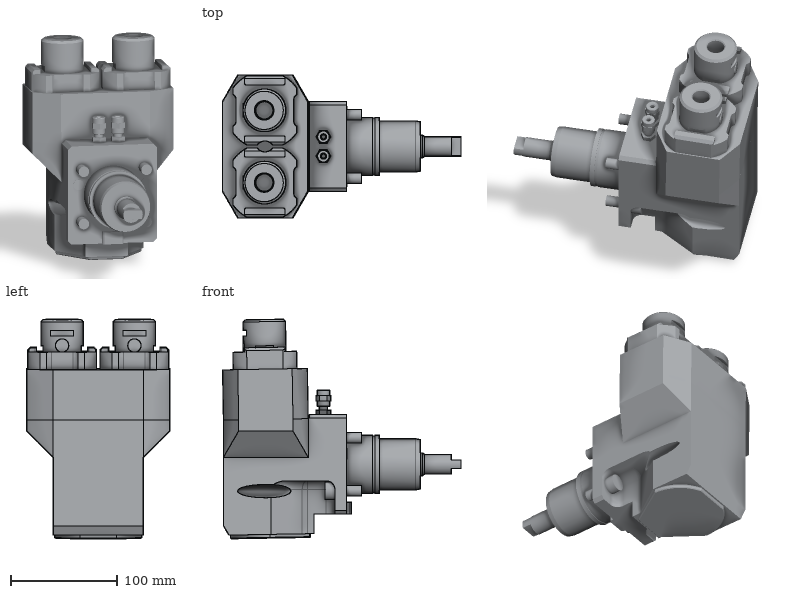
import cadquery as cq
import math


BODY_WIDTH = 85.0
HALF_WIDTH = BODY_WIDTH / 2
HEAD_LENGTH = 80.0
FLANGE_LENGTH = 36.0
FLANGE_HALF_HEIGHT = 47.0
FLANGE_CHAMFER = 3.3
HEAD_GAP = 1.0
BACK_X = -(HEAD_LENGTH + FLANGE_LENGTH)
HEAD_MID_X = -FLANGE_LENGTH - HEAD_LENGTH / 2
TOE_X = -30.5
BODY_BOTTOM_Z = -66.0
HEEL_CHAMFER_LENGTH = 5.2
HEEL_CHAMFER_HEIGHT = 8.8

HEAD_WIDTH = 135.0
HEAD_CORNER_ANGLE = 30.0
HEAD_OVERHANG = (HEAD_WIDTH - BODY_WIDTH) / 2
HEAD_CORNER_LENGTH = HEAD_OVERHANG * math.tan(math.radians(HEAD_CORNER_ANGLE))
HEAD_SIDE_BOTTOM_Z = 31.4
SHOULDER_Z = HEAD_SIDE_BOTTOM_Z - HEAD_OVERHANG
CREASE_Z = 42.3
HEAD_TOP_Z = 89.6
TILT_ANGLE = 1.0
SLAB_SIZE = 400.0

WEB_HALF_WIDTH = 20.5
POCKET_ROOF_Z = -15.6
POCKET_START_X = -71.0
POCKET_BEND_X = -39.6
POCKET_END_X = -11.0
POCKET_FILLET = 8.3
POCKET_ROOF_FILLET = 8.2
POCKET_BEND_RADIUS = 8.3

SCOOP_X = -75.8
SCOOP_Z = -25.2
SCOOP_RADIUS = 26.7
SCOOP_HALF_HEIGHT = 6.3

COVER_X = -74.1
COVER_RADIUS = 41.0
COVER_FRONT_X = -111.3
COVER_END_X = -35.7
COVER_END_WIDTH = 32.0
COVER_THICKNESS = 3.6
COVER_CHAMFER = 0.8

PILOT_RADIUS = 27.5
PILOT_LENGTH = 31.0
GROOVE_START_X = 24.3
GROOVE_WIDTH = 2.5
GROOVE_DEPTH = 0.6
SHANK_RADIUS = 24.2
SHANK_TAPER_START_X = 64.8
SHANK_END_X = 69.5
SHANK_END_RADIUS = 23.3
COLLAR_RADIUS = 10.8
COLLAR_TAPER_START_X = 71.6
COLLAR_END_X = 73.6
DRIVE_RADIUS = 9.25
TANG_START_X = 98.6
TANG_END_X = 107.75
TANG_HALF_THICKNESS = 4.15

BOLT_Y = 30.0
BOLT_Z = 25.0
BOLT_DIAMETER = 10.0
BOLT_REACH = 14.2
BOLT_HEAD_DIAMETER = 16.4
BOLT_HEAD_HEIGHT = 9.3
KEY_REACH = 4.7
KEY_WIDTH = 20.0
KEY_HEIGHT = 11.5
KEY_CHAMFER = 1.5
PORT_Y = 32.5
PORT_Z = 10.0
PORT_DIAMETER = 10.0
PORT_HEIGHT = 0.6

FITTING_X = -21.8
FITTING_Y = 9.1
FITTING_HEX_CORNERS = 14.0
FITTING_BASE_HEIGHT = 4.1
FITTING_NECK_DIAMETER = 8.0
FITTING_NECK_HEIGHT = 3.2
FITTING_BODY_DIAMETER = 12.0
FITTING_BODY_HEIGHT = 15.7
FITTING_BODY_CHAMFER = 0.5
FITTING_NUT_RISE = 5.3
FITTING_NUT_HEIGHT = 5.1
FITTING_MOUTH_DIAMETER = 5.8
FITTING_BORE_DIAMETER = 4.0

SPINDLE_X = -75.9
SPINDLE_Y = 34.0
PLATE_LENGTH = 60.2
PLATE_WIDTH = 65.0
PLATE_CORNER_RADIUS = 36.7
PLATE_THICKNESS = 16.4
NOTCH_HALF_WIDTH = 14.9
NOTCH_FLOOR_HALF_WIDTH = 10.2
NOTCH_DEPTH = 2.9
RIB_LENGTH = 38.0
RIB_WIDTH = 8.6
RIB_HEIGHT = 4.0
RIB_CHAMFER = 2.7
RIB_CORNER_RADIUS = 1.5
NUT_DIAMETER = 40.2
NUT_TOP = 46.8
NUT_CHAMFER = 2.1
NUT_BORE_DIAMETER = 16.3
NUT_BORE_CHAMFER = 1.0
NUT_BORE_DEPTH = 20.0
NUT_FLAT_OFFSET = 18.2
NUT_FLAT_TOP = 22.0
NUT_SLOT_DEPTH = 3.1
NUT_SLOT_BOTTOM = 31.6
NUT_SLOT_HEIGHT = 5.3
PLUG_DIAMETER = 12.5
PLUG_CENTRE = 22.6
PLUG_REACH = 20.5
RELIEF_RADIUS = 9.1
RELIEF_REACH = 5.1


def block(x_range, y_range, z_range):
    """Box between the given limits on each axis."""
    lengths = [limits[1] - limits[0] for limits in (x_range, y_range, z_range)]
    corner = (x_range[0], y_range[0], z_range[0])
    return cq.Workplane("XY").box(*lengths, centered=False).translate(corner)


def cylinder_x(start_x, end_x, diameter, y, z):
    """Cylinder along X."""
    disc = cq.Workplane("YZ", origin=(start_x, y, z)).circle(diameter / 2)
    return disc.extrude(end_x - start_x)


def tilt(shape):
    """Lean a shape back about the middle of the crease line."""
    return shape.rotate((HEAD_MID_X, 0, CREASE_Z), (HEAD_MID_X, 1, CREASE_Z), -TILT_ANGLE)


def tilt_slab(bottom_z, top_z):
    """Very wide slab between two leaning planes."""
    half = SLAB_SIZE / 2
    return tilt(block((HEAD_MID_X - half, HEAD_MID_X + half), (-half, half), (bottom_z, top_z)))


def head_prism(bottom_z, top_z):
    """Rectangle with four bevelled corners, extruded upwards."""
    half = HEAD_LENGTH / 2
    flat = half - HEAD_CORNER_LENGTH
    side = HEAD_WIDTH / 2
    outline = [
        (-half, -HALF_WIDTH),
        (-flat, -side),
        (flat, -side),
        (half, -HALF_WIDTH),
        (half, HALF_WIDTH),
        (flat, side),
        (-flat, side),
        (-half, HALF_WIDTH),
    ]
    sketch = cq.Workplane("XY", origin=(HEAD_MID_X, 0, bottom_z)).polyline(outline).close()
    return sketch.extrude(top_z - bottom_z)


def make_head():
    """Upright lower part with sloping shoulders, and the leaning upper part."""
    lower = head_prism(SHOULDER_Z, HEAD_TOP_Z)
    shoulders = [
        (-HALF_WIDTH, SHOULDER_Z),
        (HALF_WIDTH, SHOULDER_Z),
        (HEAD_WIDTH / 2, HEAD_SIDE_BOTTOM_Z),
        (HEAD_WIDTH / 2, HEAD_TOP_Z),
        (-HEAD_WIDTH / 2, HEAD_TOP_Z),
        (-HEAD_WIDTH / 2, HEAD_SIDE_BOTTOM_Z),
    ]
    envelope = cq.Workplane("YZ", origin=(BACK_X, 0, 0)).polyline(shoulders).close().extrude(HEAD_LENGTH)
    lower = lower.intersect(envelope).cut(tilt_slab(CREASE_Z, CREASE_Z + SLAB_SIZE))
    return lower.union(tilt(head_prism(CREASE_Z, HEAD_TOP_Z)))


def make_flange():
    """Block behind the flange face with all four long edges chamfered."""
    flange = block(
        (-FLANGE_LENGTH, 0), (-HALF_WIDTH, HALF_WIDTH), (-FLANGE_HALF_HEIGHT, FLANGE_HALF_HEIGHT)
    )
    flange = flange.edges("|X").chamfer(FLANGE_CHAMFER)
    gap = block(
        (-FLANGE_LENGTH, -FLANGE_LENGTH + HEAD_GAP),
        (-HALF_WIDTH, HALF_WIDTH),
        (FLANGE_HALF_HEIGHT - FLANGE_CHAMFER, FLANGE_HALF_HEIGHT),
    )
    return flange.cut(gap)


def make_lower_body():
    """Body under the head, cut off by the leaning bottom plane and the heel chamfer."""
    floor_z = BODY_BOTTOM_Z - COVER_THICKNESS
    body = block((BACK_X, TOE_X), (-HALF_WIDTH, HALF_WIDTH), (floor_z, SHOULDER_Z))
    body = body.cut(tilt_slab(BODY_BOTTOM_Z - SLAB_SIZE, BODY_BOTTOM_Z))
    heel_z = BODY_BOTTOM_Z - math.tan(math.radians(TILT_ANGLE)) * HEAD_LENGTH / 2
    slope = HEEL_CHAMFER_LENGTH / HEEL_CHAMFER_HEIGHT
    drop = 2 * HEEL_CHAMFER_HEIGHT
    top_z = heel_z + HEEL_CHAMFER_HEIGHT
    heel = [(BACK_X, top_z), (BACK_X, top_z - drop), (BACK_X + slope * drop, top_z - drop)]
    wedge = cq.Workplane("XZ").polyline(heel).close().extrude(HALF_WIDTH, both=True)
    return body.cut(wedge)


def make_pocket():
    """Pocket on the -Y side between the body and the flange, rounded along its inner edges."""
    depth = POCKET_ROOF_Z - BODY_BOTTOM_Z + COVER_THICKNESS
    middle_z = POCKET_ROOF_Z - depth / 2
    outline = [
        (POCKET_START_X, -HALF_WIDTH),
        (POCKET_BEND_X, -WEB_HALF_WIDTH),
        (POCKET_END_X, -WEB_HALF_WIDTH),
    ]
    slope = (outline[1][1] - outline[0][1]) / (outline[1][0] - outline[0][0])
    outer_y = -HALF_WIDTH - 2 * POCKET_FILLET
    outer_x = POCKET_START_X + (outer_y + HALF_WIDTH) / slope
    points = [(outer_x, outer_y)] + outline[1:] + [(POCKET_END_X, outer_y)]
    pocket = cq.Workplane("XY", origin=(0, 0, POCKET_ROOF_Z)).polyline(points).close().extrude(-depth)
    bend = cq.selectors.NearestToPointSelector((POCKET_BEND_X, -WEB_HALF_WIDTH, middle_z))
    pocket = pocket.edges(bend).fillet(POCKET_BEND_RADIUS)
    corner = cq.selectors.NearestToPointSelector((POCKET_END_X, -WEB_HALF_WIDTH, middle_z))
    pocket = pocket.edges(corner).fillet(POCKET_FILLET)
    return pocket.faces(">Z").edges("not <Y").fillet(POCKET_ROOF_FILLET)


def make_scoop():
    """Flattened ball centred on the -Y side of the body."""
    profile = (
        cq.Workplane("YZ")
        .moveTo(0, -SCOOP_HALF_HEIGHT)
        .ellipseArc(SCOOP_RADIUS, SCOOP_HALF_HEIGHT, -90, 90, startAtCurrent=True)
        .close()
    )
    return profile.revolve(360, (0, 0), (0, 1)).translate((SCOOP_X, -HALF_WIDTH, SCOOP_Z))


def make_cover():
    """Bottom cover, round towards -X and tapering towards +X."""
    start = cq.Workplane("XY", origin=(COVER_X, 0, BODY_BOTTOM_Z))
    disc = start.circle(COVER_RADIUS).extrude(-COVER_THICKNESS)
    side = COVER_RADIUS
    end = COVER_END_WIDTH / 2
    outline = [
        (COVER_FRONT_X - COVER_X, -side),
        (0, -side),
        (COVER_END_X - COVER_X, -end),
        (COVER_END_X - COVER_X, end),
        (0, side),
        (COVER_FRONT_X - COVER_X, side),
    ]
    trim = start.polyline(outline).close().extrude(-COVER_THICKNESS)
    return tilt(disc.intersect(trim).faces("<Z").edges().chamfer(COVER_CHAMFER))


def make_shank():
    """Turned pilot, shank, collar and drive, with two flats forming the tang."""
    groove_end_x = GROOVE_START_X + GROOVE_WIDTH
    profile = [
        (0, 0),
        (0, PILOT_RADIUS),
        (GROOVE_START_X, PILOT_RADIUS),
        (GROOVE_START_X, PILOT_RADIUS - GROOVE_DEPTH),
        (groove_end_x, PILOT_RADIUS - GROOVE_DEPTH),
        (groove_end_x, PILOT_RADIUS),
        (PILOT_LENGTH, PILOT_RADIUS),
        (PILOT_LENGTH, SHANK_RADIUS),
        (SHANK_TAPER_START_X, SHANK_RADIUS),
        (SHANK_END_X, SHANK_END_RADIUS),
        (SHANK_END_X, COLLAR_RADIUS),
        (COLLAR_TAPER_START_X, COLLAR_RADIUS),
        (COLLAR_END_X, DRIVE_RADIUS),
        (TANG_END_X, DRIVE_RADIUS),
        (TANG_END_X, 0),
    ]
    shank = cq.Workplane("XY").polyline(profile).close().revolve(360, (0, 0), (1, 0))
    for side in (-1, 1):
        z_range = sorted((side * TANG_HALF_THICKNESS, side * SHANK_RADIUS))
        shank = shank.cut(block((TANG_START_X, TANG_END_X), (-SHANK_RADIUS, SHANK_RADIUS), z_range))
    return shank


def make_bolt(y, z):
    """Clamping bolt through the flange."""
    stud = cylinder_x(POCKET_END_X, BOLT_REACH, BOLT_DIAMETER, y, z)
    head = cylinder_x(POCKET_END_X - BOLT_HEAD_HEIGHT, POCKET_END_X, BOLT_HEAD_DIAMETER, y, z)
    return stud.union(head)


def make_key():
    """Locating key at the foot of the flange face."""
    key = block(
        (0, KEY_REACH),
        (-KEY_WIDTH / 2, KEY_WIDTH / 2),
        (-FLANGE_HALF_HEIGHT, -FLANGE_HALF_HEIGHT + KEY_HEIGHT),
    )
    return key.edges(">X and |Z").chamfer(KEY_CHAMFER)


def make_fitting(y):
    """Hose fitting: hexagon foot, neck, and round body with a hexagon nut."""
    base = cq.Workplane("XY", origin=(FITTING_X, y, FLANGE_HALF_HEIGHT))
    neck_rise = FITTING_BASE_HEIGHT + FITTING_NECK_HEIGHT
    top = neck_rise + FITTING_BODY_HEIGHT
    foot = base.polygon(6, FITTING_HEX_CORNERS).extrude(FITTING_BASE_HEIGHT)
    neck = base.circle(FITTING_NECK_DIAMETER / 2).extrude(neck_rise)
    barrel = base.workplane(offset=neck_rise).circle(FITTING_BODY_DIAMETER / 2).extrude(FITTING_BODY_HEIGHT)
    barrel = barrel.edges().chamfer(FITTING_BODY_CHAMFER)
    nut = base.workplane(offset=neck_rise + FITTING_NUT_RISE).polygon(6, FITTING_HEX_CORNERS)
    fitting = foot.union(neck).union(barrel).union(nut.extrude(FITTING_NUT_HEIGHT))
    bore = base.workplane(offset=top).circle(FITTING_BORE_DIAMETER / 2).extrude(-FITTING_BODY_HEIGHT)
    fitting = fitting.cut(bore)
    mouth_chamfer = (FITTING_MOUTH_DIAMETER - FITTING_BORE_DIAMETER) / 2
    return fitting.faces(">Z").edges(cq.selectors.RadiusNthSelector(0)).chamfer(mouth_chamfer)


def make_plate():
    """Clamping plate with rounded corners and a notch in each end."""
    plate = cq.Workplane("XY").circle(PLATE_CORNER_RADIUS).extrude(PLATE_THICKNESS)
    plate = plate.intersect(cq.Workplane("XY").rect(PLATE_LENGTH, PLATE_WIDTH).extrude(PLATE_THICKNESS))
    run = NOTCH_HALF_WIDTH - NOTCH_FLOOR_HALF_WIDTH
    arc_radius = (run**2 + NOTCH_DEPTH**2) / (2 * NOTCH_DEPTH)
    edge_x = PLATE_LENGTH / 2
    floor_x = edge_x - NOTCH_DEPTH
    notch = (
        cq.Workplane("XY")
        .moveTo(edge_x, -NOTCH_HALF_WIDTH)
        .radiusArc((floor_x, -NOTCH_FLOOR_HALF_WIDTH), arc_radius)
        .lineTo(floor_x, NOTCH_FLOOR_HALF_WIDTH)
        .radiusArc((edge_x, NOTCH_HALF_WIDTH), arc_radius)
        .close()
        .extrude(PLATE_THICKNESS)
    )
    return plate.cut(notch).cut(notch.mirror("YZ"))


def make_rib():
    """Rib along the +Y edge of the plate, bevelled outside and trimmed to the plate corners."""
    outer_y = PLATE_WIDTH / 2
    top_z = PLATE_THICKNESS + RIB_HEIGHT
    rib = block(
        (-RIB_LENGTH / 2, RIB_LENGTH / 2), (outer_y - RIB_WIDTH, outer_y), (PLATE_THICKNESS, top_z)
    )
    rib = rib.edges("|Z and <Y").fillet(RIB_CORNER_RADIUS)
    rib = rib.edges(">Y and >Z").chamfer(RIB_CHAMFER)
    return rib.intersect(cq.Workplane("XY").circle(PLATE_CORNER_RADIUS).extrude(top_z))


def make_nut():
    """Collet nut with wrench flats, a slot and a plug on its -X side."""
    radius = NUT_DIAMETER / 2
    nut = cq.Workplane("XY").circle(radius).extrude(NUT_TOP).faces(">Z").chamfer(NUT_CHAMFER)
    bore = cq.Workplane("XY", origin=(0, 0, NUT_TOP)).circle(NUT_BORE_DIAMETER / 2).extrude(-NUT_BORE_DEPTH)
    nut = nut.cut(bore)
    nut = nut.faces(">Z").edges(cq.selectors.RadiusNthSelector(0)).chamfer(NUT_BORE_CHAMFER)
    flat = block((-radius, radius), (NUT_FLAT_OFFSET, radius), (PLATE_THICKNESS, NUT_FLAT_TOP))
    nut = nut.cut(flat).cut(flat.mirror("XZ"))
    slot_top = NUT_SLOT_BOTTOM + NUT_SLOT_HEIGHT
    slot = block((-radius, -radius + NUT_SLOT_DEPTH), (-radius, radius), (NUT_SLOT_BOTTOM, slot_top))
    plug = cylinder_x(-PLUG_REACH, -radius / 2, PLUG_DIAMETER, 0, PLUG_CENTRE)
    return nut.cut(slot).union(plug)


def make_spindles():
    """Both tool spindles, relieved where they face each other, leaning with the head."""
    rib = make_rib()
    base = make_plate().union(rib).union(rib.mirror("XZ"))
    relief_y = RELIEF_REACH - RELIEF_RADIUS - SPINDLE_Y
    relief = cq.Workplane("XY").center(0, relief_y).circle(RELIEF_RADIUS).extrude(NUT_TOP)
    spindle = base.cut(relief).union(make_nut()).translate((SPINDLE_X, SPINDLE_Y, HEAD_TOP_Z))
    return tilt(spindle.union(spindle.mirror("XZ")))


body = make_lower_body().union(make_head())
body = body.union(make_flange())
pocket = make_pocket()
scoop = make_scoop()
for cutter in (pocket, scoop):
    body = body.cut(cutter).cut(cutter.mirror("XZ"))

result = body.union(make_cover()).union(make_shank()).union(make_key()).union(make_spindles())
for side in (-1, 1):
    result = result.union(make_fitting(side * FITTING_Y))
    result = result.union(cylinder_x(0, PORT_HEIGHT, PORT_DIAMETER, side * PORT_Y, PORT_Z))
    for z in (-BOLT_Z, BOLT_Z):
        result = result.union(make_bolt(side * BOLT_Y, z))